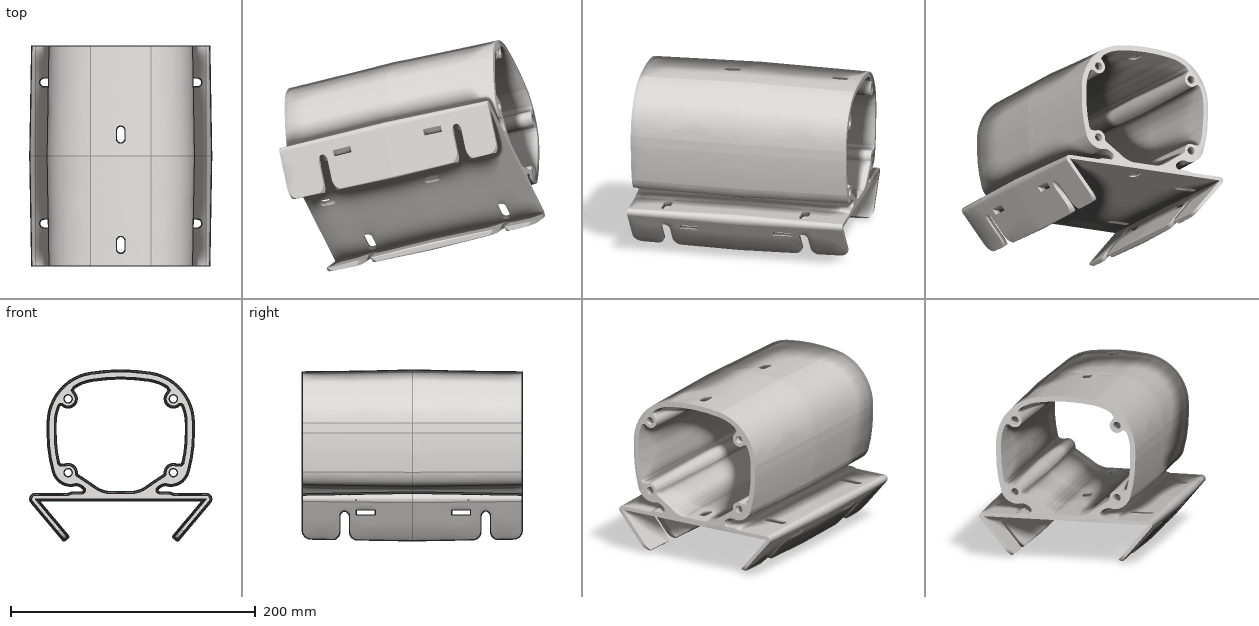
import cadquery as cq
import math

LENGTH = 179.8
HALF_LENGTH = LENGTH / 2
DRAFT_ANGLE = 1.0
DRAFT_GROWTH = HALF_LENGTH * math.tan(math.radians(DRAFT_ANGLE))

TUBE_HALF_WIDTH = 58.6
TUBE_TOP = 104.0
TUBE_BOTTOM = 11.9
WALL = 4.3
SIDE_FLAT_TOP = 62.0
SIDE_FLAT_BOTTOM = 53.8
SHOULDER_RADIUS = 40.5
SIDE_RADIUS = 115.0
SIDE_ARC_END = 22.3
SIDE_ARC_DROP = math.asin((SIDE_FLAT_BOTTOM - SIDE_ARC_END) / SIDE_RADIUS)

BOSS_X = 43.0
BOSS_LOW = 21.5
BOSS_HIGH = 81.8
BOSS_RADIUS = 6.0
SCREW_HOLE_DIAMETER = 6.5

PLATE_THICKNESS = 3.0
FOLD_X = 69.8
LEG_ANGLE = 50.0
LEG_LENGTH = 40.1
LEG_SIN = math.sin(math.radians(LEG_ANGLE))
LEG_COS = math.cos(math.radians(LEG_ANGLE))
LEG_END_BOTTOM = -LEG_LENGTH * LEG_SIN - PLATE_THICKNESS * LEG_COS
LEG_BOTTOM_GROWTH = DRAFT_GROWTH * (LEG_SIN + LEG_COS)

RAMP_OUTER_X = 43.0
RAMP_INNER_X = 39.2
LEDGE_HEIGHT = 4.3
GROOVE_LEDGE_END = (31.8, LEDGE_HEIGHT)
GROOVE_DEEPEST = (29.1, 6.0)
GROOVE_CEILING_START = (29.5, 9.0)
GROOVE_CEILING_MIDDLE = (32.4, 11.3)
GROOVE_CEILING_END = (36.5, 12.5)

CAVITY_FLOOR = 4.7
FLOOR_FLAT_X = 10.8
FLOOR_CURVE_MIDDLE = (17.0, 6.5)
FLOOR_CURVE_END = (22.5, 9.7)
SLOPE_KINK = (24.0, 10.8)
SLOPE_TOP = (36.3, 19.0)
LOW_WEB_CORNER = (49.8, 27.0)
HIGH_WEB_CORNER = (50.0, 78.0)
ROOF_WEB_CORNER = (40.6, 88.8)
LOW_BOSS_START = 190
LOW_BOSS_END = 62
HIGH_BOSS_START = -40
HIGH_BOSS_END = -220
LOW_WEB_ANGLE = -13
HIGH_WEB_ANGLE = 23
ROOF_WEB_ANGLE = 56

TUBE_SLOT_YS = (17.5, -72.6)
TUBE_SLOT_LENGTH = 13.7
TUBE_SLOT_WIDTH = 6.8
PLATE_SLOT_YS = (60.0, -55.2)
PLATE_SLOT_OUTER_X = 66.2
PLATE_SLOT_LENGTH = 19.0
PLATE_SLOT_WIDTH = 7.0
NOTCH_WIDTH = 7.5
NOTCH_TOP = -10.2
LEG_CORNER_RADIUS = 7.2
WINDOW_YS = (40.0, -38.0)
WINDOW_WIDTH = 15.3
WINDOW_HEIGHT = 4.0
WINDOW_TOP = -9.0
CUT_MARGIN = 9.0
LEG_CUT_REACH = LENGTH / 2


def polar(center, radius, degrees):
    """Point at the given radius and angle (from +X towards +Z) around a centre."""
    angle = math.radians(degrees)
    return (center[0] + radius * math.cos(angle), center[1] + radius * math.sin(angle))


SHOULDER_CENTER = (TUBE_HALF_WIDTH - SHOULDER_RADIUS, SIDE_FLAT_TOP)
SIDE_CENTER = (TUBE_HALF_WIDTH - SIDE_RADIUS, SIDE_FLAT_BOTTOM)
SIDE_ARC_ANGLE = -math.degrees(SIDE_ARC_DROP)
SIDE_ARC_POINT = polar(SIDE_CENTER, SIDE_RADIUS, SIDE_ARC_ANGLE)
LOWER_RADIUS = (SIDE_ARC_END - TUBE_BOTTOM) / (1 - math.sin(SIDE_ARC_DROP))
LOWER_CENTER = polar(SIDE_ARC_POINT, -LOWER_RADIUS, SIDE_ARC_ANGLE)

SHOULDER_RISE = TUBE_TOP - SHOULDER_CENTER[1]
ROOF_RADIUS = (SHOULDER_CENTER[0] ** 2 + SHOULDER_RISE ** 2 - SHOULDER_RADIUS ** 2) / (
    2 * (SHOULDER_RISE - SHOULDER_RADIUS)
)
ROOF_CENTER = (0, TUBE_TOP - ROOF_RADIUS)
ROOF_ANGLE = 90 - math.degrees(math.asin(SHOULDER_CENTER[0] / (ROOF_RADIUS - SHOULDER_RADIUS)))


def arc(path, center, radius, start, end):
    """Add a circular arc between two angles; the path already stands at the start angle."""
    return path.threePointArc(polar(center, radius, (start + end) / 2), polar(center, radius, end))


def end_plane():
    """Drawing plane on the +Y end face, extruding towards -Y."""
    return cq.Workplane("XZ", origin=(0, HALF_LENGTH, 0))


def symmetric_profile(right_side, floor_x, floor_z, roof_radius):
    """Close an open right-hand outline with its mirror image, a level floor and the roof arc."""
    floor = end_plane().moveTo(-floor_x, floor_z).lineTo(floor_x, floor_z).wire()
    roof = end_plane().moveTo(*polar(ROOF_CENTER, roof_radius, ROOF_ANGLE))
    roof = arc(roof, ROOF_CENTER, roof_radius, ROOF_ANGLE, 180 - ROOF_ANGLE).wire()
    right = right_side.wire().val()
    pieces = [floor.val(), right, roof.val(), right.mirror("YZ")]
    return end_plane().add(cq.Wire.combine(pieces)).toPending()


def outer_profile():
    """Outline of tube, grooves, plate and folded legs at an end face."""
    fold = (FOLD_X, 0)
    leg_direction = 180 + LEG_ANGLE
    leg_normal = LEG_ANGLE - 90
    inner_tip = polar(fold, LEG_LENGTH, leg_direction)
    outer_tip = polar(inner_tip, PLATE_THICKNESS, leg_normal)
    path = end_plane().moveTo(*fold).lineTo(*inner_tip).lineTo(*outer_tip)
    path = path.lineTo(*polar(fold, PLATE_THICKNESS, leg_normal))
    path = arc(path, fold, PLATE_THICKNESS, leg_normal, 90)
    path = path.lineTo(RAMP_OUTER_X, PLATE_THICKNESS).lineTo(RAMP_INNER_X, LEDGE_HEIGHT)
    path = path.lineTo(*GROOVE_LEDGE_END)
    path = path.threePointArc(GROOVE_DEEPEST, GROOVE_CEILING_START)
    path = path.threePointArc(GROOVE_CEILING_MIDDLE, GROOVE_CEILING_END)
    path = path.lineTo(*polar(LOWER_CENTER, LOWER_RADIUS, -90))
    path = arc(path, LOWER_CENTER, LOWER_RADIUS, -90, SIDE_ARC_ANGLE)
    path = arc(path, SIDE_CENTER, SIDE_RADIUS, SIDE_ARC_ANGLE, 0)
    path = path.lineTo(TUBE_HALF_WIDTH, SIDE_FLAT_TOP)
    path = arc(path, SHOULDER_CENTER, SHOULDER_RADIUS, 0, ROOF_ANGLE)
    return symmetric_profile(path, FOLD_X, 0, ROOF_RADIUS)


def cavity_profile():
    """Outline of the tube's inside at an end face, running around the screw bosses."""
    low_boss = (BOSS_X, BOSS_LOW)
    high_boss = (BOSS_X, BOSS_HIGH)
    inner_side = SIDE_RADIUS - WALL
    inner_shoulder = SHOULDER_RADIUS - WALL
    path = end_plane().moveTo(FLOOR_FLAT_X, CAVITY_FLOOR)
    path = path.threePointArc(FLOOR_CURVE_MIDDLE, FLOOR_CURVE_END)
    path = path.lineTo(*SLOPE_KINK).lineTo(*SLOPE_TOP)
    path = path.lineTo(*polar(low_boss, BOSS_RADIUS, LOW_BOSS_START))
    path = arc(path, low_boss, BOSS_RADIUS, LOW_BOSS_START, LOW_BOSS_END)
    path = path.lineTo(*LOW_WEB_CORNER)
    path = path.lineTo(*polar(SIDE_CENTER, inner_side, LOW_WEB_ANGLE))
    path = arc(path, SIDE_CENTER, inner_side, LOW_WEB_ANGLE, 0)
    path = path.lineTo(TUBE_HALF_WIDTH - WALL, SIDE_FLAT_TOP)
    path = arc(path, SHOULDER_CENTER, inner_shoulder, 0, HIGH_WEB_ANGLE)
    path = path.lineTo(*HIGH_WEB_CORNER)
    path = path.lineTo(*polar(high_boss, BOSS_RADIUS, HIGH_BOSS_START))
    path = arc(path, high_boss, BOSS_RADIUS, HIGH_BOSS_START, HIGH_BOSS_END)
    path = path.lineTo(*ROOF_WEB_CORNER)
    path = path.lineTo(*polar(SHOULDER_CENTER, inner_shoulder, ROOF_WEB_ANGLE))
    path = arc(path, SHOULDER_CENTER, inner_shoulder, ROOF_WEB_ANGLE, ROOF_ANGLE)
    return symmetric_profile(path, FLOOR_FLAT_X, CAVITY_FLOOR, ROOF_RADIUS - WALL)


def tapered_tube():
    """Drafted extrusion on both sides of the Y = 0 plane."""
    half = outer_profile().extrude(HALF_LENGTH, taper=-DRAFT_ANGLE)
    half = half.cut(cavity_profile().extrude(HALF_LENGTH, taper=DRAFT_ANGLE))
    return half.union(half.mirror("XZ"))


def screw_holes():
    """Four straight holes along the full length, one through each boss."""
    centers = [(side * BOSS_X, z) for side in (-1, 1) for z in (BOSS_LOW, BOSS_HIGH)]
    holes = end_plane().pushPoints(centers)
    return holes.circle(SCREW_HOLE_DIAMETER / 2).extrude(LENGTH)


def tube_slots():
    """Lengthwise slots through the roof and the floor of the tube."""
    centers = [(0, y) for y in TUBE_SLOT_YS]
    slots = cq.Workplane("XY", origin=(0, 0, -CUT_MARGIN)).pushPoints(centers)
    return slots.slot2D(TUBE_SLOT_LENGTH, TUBE_SLOT_WIDTH, 90).extrude(TUBE_TOP + 2 * CUT_MARGIN)


def plate_slots():
    """Crosswise slots through the plate wings and straight down into the leg notches."""
    slot_x = PLATE_SLOT_OUTER_X - PLATE_SLOT_LENGTH / 2
    centers = [(side * slot_x, y) for side in (-1, 1) for y in PLATE_SLOT_YS]
    slots = cq.Workplane("XY", origin=(0, 0, LEG_END_BOTTOM)).pushPoints(centers)
    return slots.slot2D(PLATE_SLOT_LENGTH, PLATE_SLOT_WIDTH).extrude(CUT_MARGIN - LEG_END_BOTTOM)


def leg_windows():
    """Rectangular openings through both legs along X."""
    centers = [(y, WINDOW_TOP - WINDOW_HEIGHT / 2) for y in WINDOW_YS]
    windows = cq.Workplane("YZ").pushPoints(centers).rect(WINDOW_WIDTH, WINDOW_HEIGHT)
    return windows.extrude(LEG_CUT_REACH, both=True)


def corner_rounding(y, z, side):
    """Waste of a convex corner whose edge runs up from (y, z); the leg lies towards `side` in Y."""
    r = LEG_CORNER_RADIUS
    middle = r * (1 - math.sqrt(0.5))
    waste = cq.Workplane("YZ").moveTo(y, z + r)
    waste = waste.threePointArc((y + side * middle, z + middle), (y + side * r, z))
    waste = waste.lineTo(y + side * r, z - r).lineTo(y - side * DRAFT_GROWTH, z - r)
    waste = waste.lineTo(y - side * DRAFT_GROWTH, z + r).close()
    return waste.extrude(LEG_CUT_REACH, both=True)


def leg_bottom(y):
    """Height of the lowest leg edge at a given distance along the part."""
    return LEG_END_BOTTOM - LEG_BOTTOM_GROWTH * (1 - abs(y) / HALF_LENGTH)


def leg_notches():
    """Open round-topped notches in both legs, with all free leg corners rounded."""
    waste = corner_rounding(-HALF_LENGTH, LEG_END_BOTTOM, 1).union(
        corner_rounding(HALF_LENGTH, LEG_END_BOTTOM, -1)
    )
    r = NOTCH_WIDTH / 2
    for y in PLATE_SLOT_YS:
        notch = cq.Workplane("YZ").moveTo(y - r, 2 * LEG_END_BOTTOM).lineTo(y - r, NOTCH_TOP - r)
        notch = notch.threePointArc((y, NOTCH_TOP), (y + r, NOTCH_TOP - r))
        notch = notch.lineTo(y + r, 2 * LEG_END_BOTTOM).close().extrude(LEG_CUT_REACH, both=True)
        waste = waste.union(notch)
        for side in (-1, 1):
            waste = waste.union(corner_rounding(y + side * r, leg_bottom(y), side))
    return waste


result = tapered_tube()
for opening in (screw_holes(), tube_slots(), plate_slots(), leg_windows(), leg_notches()):
    result = result.cut(opening)